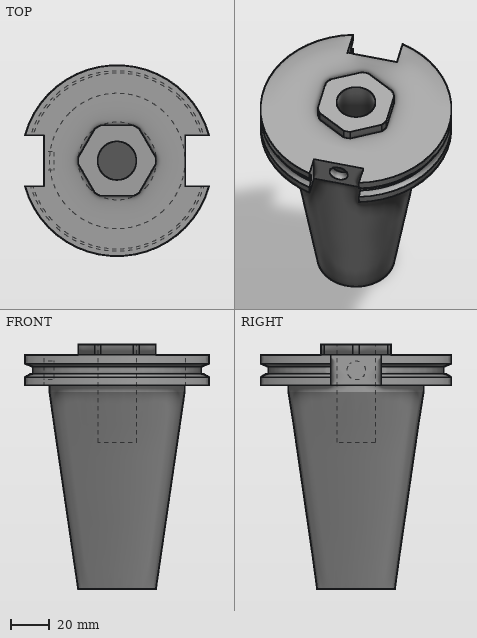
import cadquery as cq
import math

total_height = 126.0
hex_height = 5.4
flange_height = 15.8
collar_height = 3.3
flange_top = total_height - hex_height
flange_bottom = flange_top - flange_height
flange_middle = flange_top - flange_height / 2
taper_top = flange_bottom - collar_height

shank_radius = 34.9
taper_ratio = 7 / 24
tip_radius = shank_radius - taper_top * taper_ratio / 2

flange_radius = 49.23
upper_rim = 4.5
lower_rim = 4.3
groove_radius = 45.4
groove_flank = 1.6
groove_ledge = 1.1

slot_width = 26.2
left_slot_face = 37.7
right_slot_face = 35.2

hex_across_flats = 36.3
hex_corner_diameter = 40.1

bore_diameter = 19.9
bore_depth = 50.4
side_hole_diameter = 9.6
side_hole_depth = 5.0


def make_turned_body():
    groove_top = flange_top - upper_rim
    groove_bottom = flange_bottom + lower_rim
    return (
        cq.Workplane("XZ")
        .moveTo(0, 0)
        .lineTo(tip_radius, 0)
        .lineTo(shank_radius, taper_top)
        .lineTo(shank_radius, flange_bottom)
        .lineTo(flange_radius, flange_bottom)
        .lineTo(flange_radius, groove_bottom)
        .lineTo(groove_radius + groove_ledge, groove_bottom + groove_flank)
        .lineTo(groove_radius, groove_bottom + groove_flank)
        .lineTo(groove_radius, groove_top - groove_flank)
        .lineTo(flange_radius, groove_top)
        .lineTo(flange_radius, flange_top)
        .lineTo(0, flange_top)
        .close()
        .revolve(360, (0, 0, 0), (0, 1, 0))
    )


def make_hex_nut():
    across_corners = hex_across_flats / math.cos(math.radians(30))
    base = cq.Workplane("XY").workplane(offset=flange_top)
    hexagon = base.polygon(6, across_corners).extrude(hex_height)
    return hexagon.intersect(base.circle(hex_corner_diameter / 2).extrude(hex_height))


def make_drive_slot(side, face_distance):
    """Cutter running outward from the slot face; side is -1 or +1 along X."""
    length = flange_radius
    return cq.Workplane("XY").box(length, slot_width, flange_height).translate(
        (side * (face_distance + length / 2), 0, flange_middle)
    )


def make_bore():
    return (
        cq.Workplane("XY")
        .workplane(offset=total_height - bore_depth)
        .circle(bore_diameter / 2)
        .extrude(bore_depth)
    )


def make_side_hole():
    """Radial hole entering through the face of the left slot."""
    return (
        cq.Workplane("YZ", origin=(-left_slot_face, 0, flange_middle))
        .circle(side_hole_diameter / 2)
        .extrude(side_hole_depth)
    )


result = (
    make_turned_body()
    .union(make_hex_nut())
    .cut(make_drive_slot(-1, left_slot_face))
    .cut(make_drive_slot(1, right_slot_face))
    .cut(make_bore())
    .cut(make_side_hole())
)